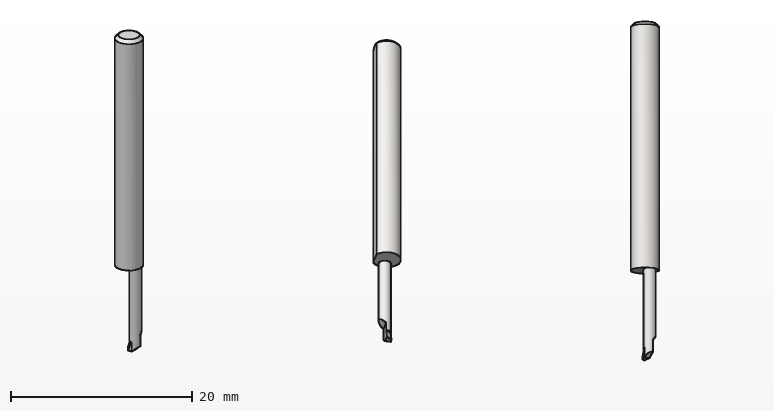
import cadquery as cq
import math

total_length = 38.1
shank_diameter = 3.175
shank_radius = shank_diameter / 2
flat_to_back = 2.92
flat_y = flat_to_back - shank_radius
shank_chamfer = 0.4

neck_length = 10.16
neck_diameter = 1.39
neck_radius = neck_diameter / 2
neck_x = shank_radius - neck_radius

rake_height = 2.06
rake_runout_angle = 45.0

head_height = 1.14
head_depth = 0.67
head_right_x = neck_x
head_shoulder_x = neck_x - neck_radius
tip_x = -0.19
side_relief = 0.57
land_depth = 0.08
land_relief = 0.045
relief_bulge = 0.015
end_rise = 0.08
heel_height = 0.7


def make_shank():
    """Round shank with a chamfered top and a flat along its +Y side."""
    shank = (
        cq.Workplane("XY", origin=(0, 0, neck_length))
        .circle(shank_radius)
        .extrude(total_length - neck_length)
        .faces(">Z")
        .chamfer(shank_chamfer)
    )
    flat_cutter = (
        cq.Workplane("XY")
        .box(shank_diameter, shank_diameter, total_length, centered=(True, False, False))
        .translate((0, flat_y, 0))
    )
    return shank.cut(flat_cutter)


def make_neck():
    """Round bar with the rake face, the space for the head and the heel slope cut away."""
    neck = cq.Workplane("XY").center(neck_x, 0).circle(neck_radius).extrude(neck_length)

    runout_height = rake_height + shank_radius * math.tan(math.radians(rake_runout_angle))
    rake_cutter = (
        cq.Workplane("YZ", origin=(-shank_radius, 0, 0))
        .moveTo(0, 0)
        .lineTo(0, rake_height)
        .lineTo(shank_radius, runout_height)
        .lineTo(shank_radius, 0)
        .close()
        .extrude(shank_diameter)
    )
    head_space = (
        cq.Workplane("XY")
        .box(head_right_x + shank_radius, shank_diameter, head_height, centered=(False, True, False))
        .translate((-shank_radius, 0, 0))
    )
    heel_cutter = (
        cq.Workplane("XZ", origin=(0, shank_radius, 0))
        .moveTo(head_right_x, 0)
        .lineTo(head_right_x, end_rise)
        .lineTo(shank_radius, heel_height)
        .lineTo(shank_radius, 0)
        .close()
        .extrude(shank_diameter)
    )
    return neck.cut(rake_cutter).cut(head_space).cut(heel_cutter)


def draw_head_section(workplane, edge_x):
    """Level section of the head, with its cutting edge at edge_x on the rake face."""
    land_end = cq.Vector(edge_x + land_relief, -land_depth)
    relief_end = cq.Vector(edge_x + side_relief, -head_depth)
    chord = relief_end - land_end
    outward = cq.Vector(chord.y, -chord.x).normalized()
    relief_middle = (land_end + relief_end) * 0.5 + outward * relief_bulge
    return (
        workplane.moveTo(edge_x, 0)
        .lineTo(land_end.x, land_end.y)
        .threePointArc((relief_middle.x, relief_middle.y), (relief_end.x, relief_end.y))
        .lineTo(head_right_x, -head_depth)
        .lineTo(head_right_x, 0)
        .close()
    )


def make_head():
    """Head whose cutting edge slopes from the tip up to the neck, with a rising end face."""
    tip_section = draw_head_section(cq.Workplane("XY"), tip_x)
    upper_plane = tip_section.workplane(offset=head_height)
    head = draw_head_section(upper_plane, head_shoulder_x).loft(ruled=True)
    end_cutter = (
        cq.Workplane("XZ")
        .moveTo(tip_x, 0)
        .lineTo(head_right_x, end_rise)
        .lineTo(head_right_x, 0)
        .close()
        .extrude(head_depth)
    )
    return head.cut(end_cutter)


result = make_shank().union(make_neck()).union(make_head())